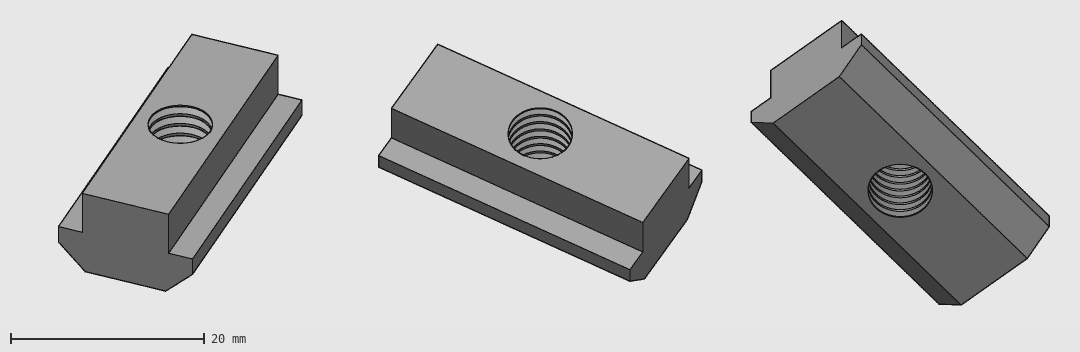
import cadquery as cq
import math

length = 30.0
foot_width = 15.0
height = 10.0
stem_width = 9.65
shoulder_height = 4.98
chamfer = 3.0

bore_diameter = 6.65
pitch = height / 8
crest_flat = pitch / 4
root_flat = pitch / 8
thread_angle = 60.0
groove_count = round(height / pitch)


def make_body():
    """T-shaped profile with chamfered lower corners, centred along Y."""
    half_foot = foot_width / 2
    half_stem = stem_width / 2
    half_base = half_foot - chamfer
    right_side = [
        (half_base, 0),
        (half_foot, chamfer),
        (half_foot, shoulder_height),
        (half_stem, shoulder_height),
        (half_stem, height),
    ]
    left_side = [(-x, z) for x, z in reversed(right_side)]
    return (
        cq.Workplane("XZ")
        .polyline(right_side + left_side)
        .close()
        .extrude(length / 2, both=True)
    )


def make_thread_cutter():
    """Through bore with V grooves, revolved about the Z axis."""
    minor_radius = bore_diameter / 2
    groove_width = pitch - crest_flat
    flank_height = (groove_width - root_flat) / 2
    major_radius = minor_radius + flank_height / math.tan(math.radians(thread_angle / 2))

    outline = [(0, 0), (minor_radius, 0)]
    for index in range(groove_count):
        groove_bottom = index * pitch + crest_flat / 2
        groove_top = groove_bottom + groove_width
        outline += [
            (minor_radius, groove_bottom),
            (major_radius, groove_bottom + flank_height),
            (major_radius, groove_top - flank_height),
            (minor_radius, groove_top),
        ]
    outline += [(minor_radius, height), (0, height)]
    return cq.Workplane("XZ").polyline(outline).close().revolve(360, (0, 0), (0, 1))


result = make_body().cut(make_thread_cutter())